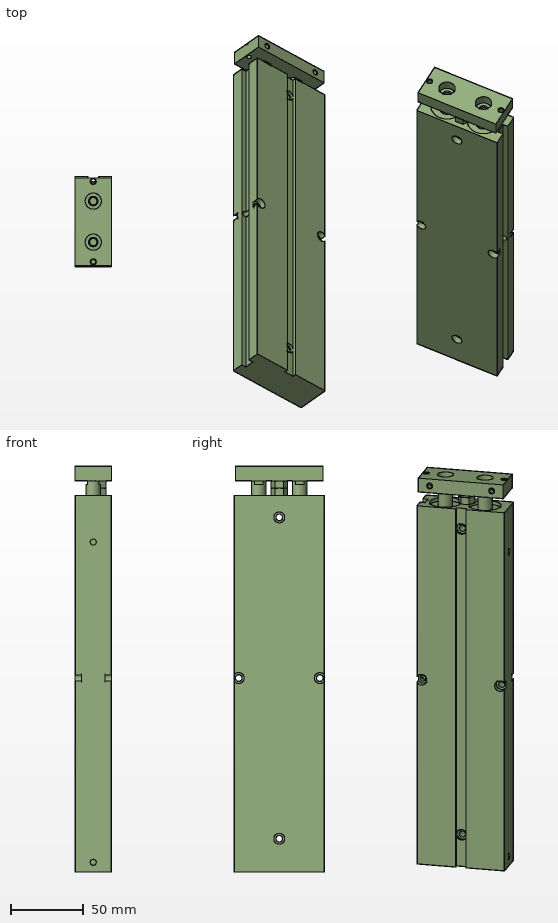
import cadquery as cq
import math

width = 25.0
total_height = 278.0
plate_thickness = 10.0
plate_gap = 10.0

housing_depth = 62.0
housing_height = total_height - plate_thickness - plate_gap
housing_chamfer = 0.3
slot_width = 7.2
side_slot_depth = 2.5
back_slot_depth = 3.5
mount_hole_dia = 4.5
mount_bore_dia = 7.5
mount_bore_depth = 4.5
mid_height = 133.0
mount_rise = 110.0
side_mount_y = 27.8
port_dia = 4.2
port_depth = 5.5
port_heights = (6.7, 226.0)
recess_dia = 22.0
recess_depth = 2.5

rod_spacing = 28.0
rod_y = rod_spacing / 2
rod_dia = 10.0
flat_cut = 1.0
flat_height = 2.5

plate_depth = 60.0
plate_bottom = total_height - plate_thickness
screw_bore_dia = 11.0
screw_bore_depth = 7.0
socket_dia = 6.5
socket_hole_dia = 5.0
socket_hole_depth = 5.0
tapped_dia = 3.3
tapped_mouth_dia = 4.2
tapped_side_y = 22.0
tapped_side_depth = 5.5
tapped_end_y = 27.5

hex_x = 4.0
hex_sides = 6
hex_flats = 10.0
hex_joint = (housing_height + plate_bottom) / 2
hex_chamfer_angle = 30.0


def upright_block(x_size, y_size, z_size):
    """Box centred on X and Y that stands on Z = 0."""
    return cq.Workplane("XY").box(x_size, y_size, z_size, centered=(True, True, False))


def cylinder(dia, length, start, direction):
    """Solid cylinder running from a start point along a direction."""
    return cq.Workplane(cq.Solid.makeCylinder(dia / 2, length, cq.Vector(*start), cq.Vector(*direction)))


def cone(start_dia, end_dia, length, start, direction):
    """Solid truncated cone running from a start point along a direction."""
    return cq.Workplane(
        cq.Solid.makeCone(start_dia / 2, end_dia / 2, length, cq.Vector(*start), cq.Vector(*direction))
    )


def mounting_hole(y, z):
    """Through hole along X, counterbored from both sides of the housing."""
    hole = cylinder(mount_hole_dia, width, (-width / 2, y, z), (1, 0, 0))
    for side in (-1, 1):
        hole = hole.union(cylinder(mount_bore_dia, mount_bore_depth, (side * width / 2, y, z), (-side, 0, 0)))
    return hole


def rod_recess(y):
    """Flat-bottomed round recess around a rod."""
    return cylinder(recess_dia, recess_depth, (0, y, housing_height), (0, 0, -1))


def make_housing():
    body = upright_block(width, housing_depth, housing_height)
    body = body.edges("|Z").chamfer(housing_chamfer)

    side_slot = upright_block(2 * side_slot_depth, slot_width, housing_height)
    body = body.cut(side_slot.translate((-width / 2, 0, 0)))
    back_slot = upright_block(slot_width, 2 * back_slot_depth, housing_height)
    body = body.cut(back_slot.translate((0, housing_depth / 2, 0)))

    for side in (-1, 1):
        body = body.cut(mounting_hole(0, mid_height + side * mount_rise))
        body = body.cut(mounting_hole(side * side_mount_y, mid_height))
        body = body.cut(rod_recess(side * rod_y))

    for z in port_heights:
        body = body.cut(cylinder(port_dia, port_depth, (0, -housing_depth / 2, z), (0, 1, 0)))
    return body


def make_rod(y):
    """Rod from the recess floor to the plate, with two wrench flats under the plate."""
    bottom = housing_height - recess_depth
    rod = cylinder(rod_dia, plate_bottom - bottom, (0, y, bottom), (0, 0, 1))
    for side in (-1, 1):
        flat = cq.Workplane("XY").box(2 * flat_cut, rod_dia, flat_height)
        rod = rod.cut(flat.translate((side * rod_dia / 2, y, plate_bottom - flat_height / 2)))
    return rod


def make_hex(bottom, top):
    """Hexagonal prism with flats on -X and +X and its upper corners chamfered."""
    corners = hex_flats / math.cos(math.pi / hex_sides)
    half_side_angle = 180 / hex_sides
    drop = (corners - hex_flats) / 2 * math.tan(math.radians(hex_chamfer_angle))
    prism = cq.Workplane("XY").polygon(hex_sides, corners).extrude(top - bottom)
    prism = prism.rotate((0, 0, 0), (0, 0, 1), half_side_angle).translate((hex_x, 0, bottom))
    envelope = cylinder(corners, top - bottom - drop, (hex_x, 0, bottom), (0, 0, 1))
    envelope = envelope.union(cone(corners, hex_flats, drop, (hex_x, 0, top - drop), (0, 0, 1)))
    return prism.intersect(envelope)


def tapped_hole(depth, start, direction):
    """Threaded hole at its core size, with a bevelled mouth."""
    bevel = (tapped_mouth_dia - tapped_dia) / 2
    return cylinder(tapped_dia, depth, start, direction).union(
        cone(tapped_mouth_dia, tapped_dia, bevel, start, direction)
    )


def screw_recess(y):
    """Counterbore for a rod screw, with the bevelled socket in its floor."""
    floor = total_height - screw_bore_depth
    bevel = (socket_dia - socket_hole_dia) / 2
    recess = cylinder(screw_bore_dia, screw_bore_depth, (0, y, total_height), (0, 0, -1))
    recess = recess.union(cylinder(socket_hole_dia, socket_hole_depth, (0, y, floor), (0, 0, -1)))
    return recess.union(cone(socket_dia, socket_hole_dia, bevel, (0, y, floor), (0, 0, -1)))


def make_slide():
    """End plate with its two rods and the stop bolt."""
    slide = upright_block(width, plate_depth, plate_thickness)
    slide = slide.translate((0, 0, plate_bottom))
    for side in (-1, 1):
        slide = slide.union(make_rod(side * rod_y))
    slide = slide.union(make_hex(housing_height, hex_joint))
    slide = slide.union(make_hex(hex_joint, plate_bottom))

    for side in (-1, 1):
        slide = slide.cut(screw_recess(side * rod_y))
        slide = slide.cut(
            tapped_hole(plate_thickness, (0, side * tapped_end_y, total_height), (0, 0, -1))
        )
        side_start = (-width / 2, side * tapped_side_y, plate_bottom + plate_thickness / 2)
        slide = slide.cut(tapped_hole(tapped_side_depth, side_start, (1, 0, 0)))
    return slide


housing = make_housing()
slide = make_slide()
result = cq.Compound.makeCompound([housing.val(), slide.val()])